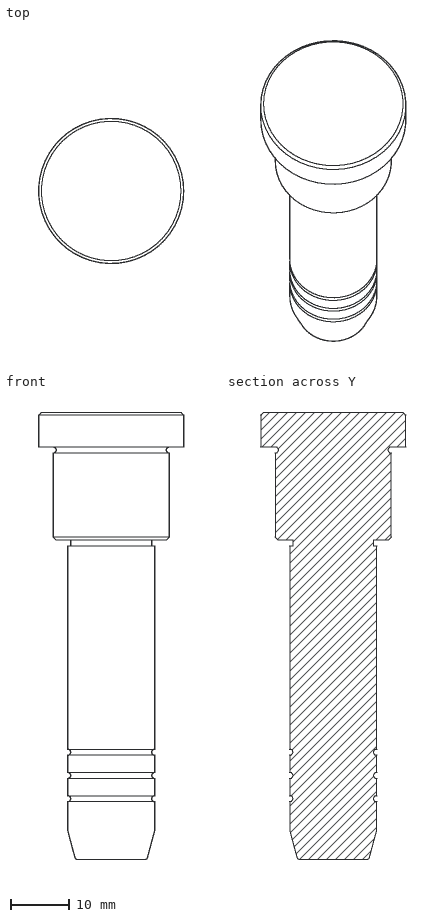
import cadquery as cq
import math

total_length = 77.0
head_height = 6.0
collar_height = 16.0

head_radius = 12.5
collar_radius = 10.0
shaft_radius = 7.5

edge_chamfer = 0.5

relief_depth = 0.5
relief_width = 1.0

taper_length = 5.0
taper_angle = 15.0
tip_fillet = 0.5

groove_radius = 0.5
groove_count = 3
groove_pitch = 4.0
lowest_groove_z = 10.5

head_bottom_z = total_length - head_height
collar_bottom_z = head_bottom_z - collar_height
tip_radius = shaft_radius - taper_length * math.tan(math.radians(taper_angle))


def round_groove(profile, body_radius, centre_z):
    """Continue the profile up a body and through a half-round groove in its side."""
    return profile.lineTo(body_radius, centre_z - groove_radius).threePointArc(
        (body_radius - groove_radius, centre_z),
        (body_radius, centre_z + groove_radius),
    )


def shaft(profile):
    """Tapered tip, grooved shaft and the relief below the collar."""
    profile = profile.lineTo(tip_radius, 0).lineTo(shaft_radius, taper_length)
    for index in range(groove_count):
        groove_z = lowest_groove_z + index * groove_pitch
        profile = round_groove(profile, shaft_radius, groove_z)
    relief_radius = shaft_radius - relief_depth
    relief_bottom_z = collar_bottom_z - relief_width
    return (
        profile.lineTo(shaft_radius, relief_bottom_z)
        .lineTo(relief_radius, relief_bottom_z)
        .lineTo(relief_radius, collar_bottom_z)
    )


def collar(profile):
    """Collar with a chamfered bottom edge and a round groove below the head."""
    profile = profile.lineTo(collar_radius - edge_chamfer, collar_bottom_z)
    profile = profile.lineTo(collar_radius, collar_bottom_z + edge_chamfer)
    return round_groove(profile, collar_radius, head_bottom_z - groove_radius)


def head(profile):
    """Flat head with a chamfered top edge, closed back to the axis."""
    return (
        profile.lineTo(head_radius, head_bottom_z)
        .lineTo(head_radius, total_length - edge_chamfer)
        .lineTo(head_radius - edge_chamfer, total_length)
        .lineTo(0, total_length)
        .close()
    )


outline = head(collar(shaft(cq.Workplane("XZ"))))
pin = outline.revolve(360, (0, 0, 0), (0, 1, 0))
result = pin.faces("<Z").edges().fillet(tip_fillet)